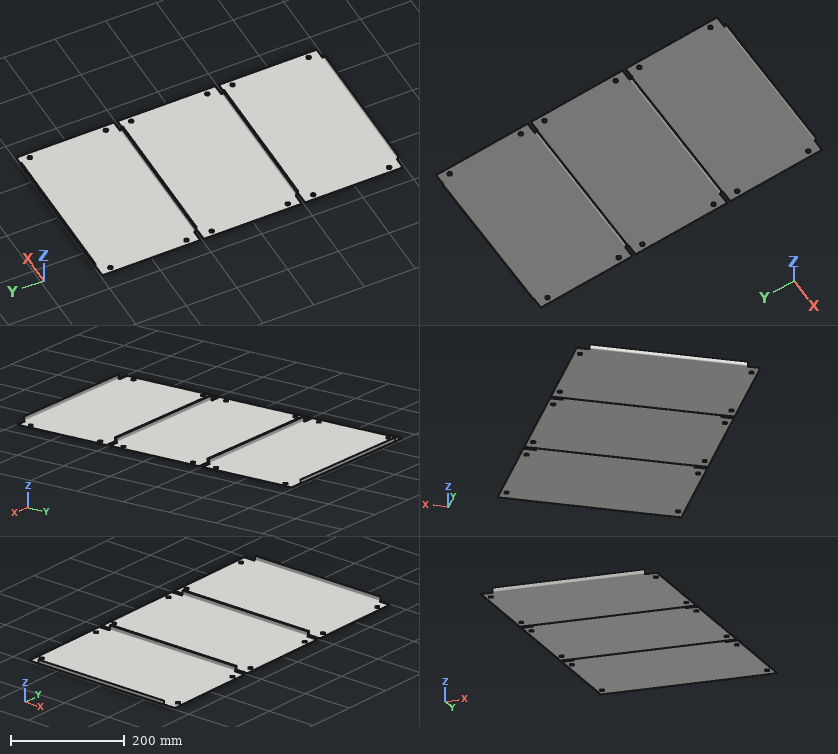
import cadquery as cq

ROW_LENGTH = 598.0
PANEL_COUNT = 3
PANEL_GAP = 2.0
PANEL_LENGTH = (ROW_LENGTH - (PANEL_COUNT - 1) * PANEL_GAP) / PANEL_COUNT
PANEL_PITCH = PANEL_LENGTH + PANEL_GAP

PLATE_WIDTH = 332.0
FLANGE_WIDTH = 286.0
FLANGE_HEIGHT = 9.0
SHEET_THICKNESS = 1.0
INNER_BEND_RADIUS = 1.5
OUTER_BEND_RADIUS = INNER_BEND_RADIUS + SHEET_THICKNESS

PLATE_LENGTH = PANEL_LENGTH - 2 * OUTER_BEND_RADIUS

HOLE_DIAMETER = 8.0
HOLE_SPACING_X = 310.0
HOLE_SPACING_Y = 150.0


def make_plate():
    """Flat sheet with a mounting hole near each corner, its underside at Z = 0."""
    return (
        cq.Workplane("XY")
        .rect(PLATE_WIDTH, PLATE_LENGTH)
        .extrude(SHEET_THICKNESS)
        .faces(">Z")
        .workplane()
        .rect(HOLE_SPACING_X, HOLE_SPACING_Y, forConstruction=True)
        .vertices()
        .hole(HOLE_DIAMETER)
    )


def make_flange():
    """Bend and upright flange along the +Y edge of the plate."""
    bend_start = PLATE_LENGTH / 2
    outer_face = PANEL_LENGTH / 2
    inner_face = outer_face - SHEET_THICKNESS
    return (
        cq.Workplane("YZ")
        .moveTo(bend_start, 0)
        .radiusArc((outer_face, OUTER_BEND_RADIUS), -OUTER_BEND_RADIUS)
        .lineTo(outer_face, FLANGE_HEIGHT)
        .lineTo(inner_face, FLANGE_HEIGHT)
        .lineTo(inner_face, OUTER_BEND_RADIUS)
        .radiusArc((bend_start, SHEET_THICKNESS), INNER_BEND_RADIUS)
        .close()
        .extrude(FLANGE_WIDTH / 2, both=True)
    )


def make_panel(center_y):
    """One panel: a plate folded up along both long edges."""
    flange = make_flange()
    panel = make_plate().union(flange).union(flange.mirror("XZ"))
    return panel.translate((0, center_y, 0))


panels = []
for index in range(PANEL_COUNT):
    center_y = (index - (PANEL_COUNT - 1) / 2) * PANEL_PITCH
    panels.append(make_panel(center_y))

result = cq.Compound.makeCompound([panel.val() for panel in panels])